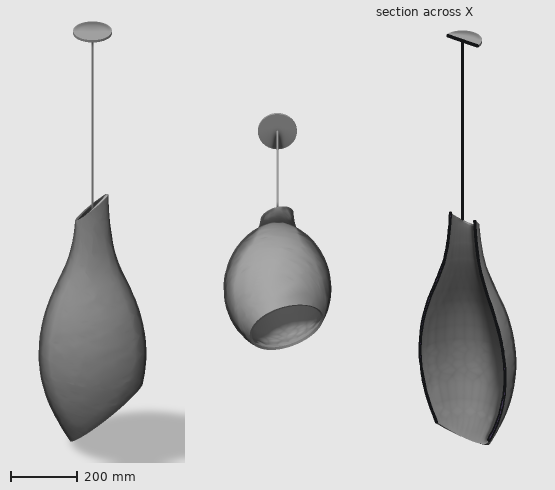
import cadquery as cq

canopy_diameter = 118.0
canopy_thickness = 8.0
cord_diameter = 7.0
cord_end_z = -619.0

shade_wall = 8.0
cut_angle = 43.5
top_cut_axis_z = -607.0
bottom_cut_axis_z = -1350.2
blank_top_z = -530.0
blank_bottom_z = -1440.0
cutter_size = 1200.0

neck_radius = 48.0
mouth_radius = 50.0
belly_radius = 163.4
shade_stations = [
    (neck_radius, blank_top_z),
    (53.0, -660.0),
    (74.5, -787.0),
    (124.0, -915.0),
    (belly_radius, -1112.0),
    (143.5, -1247.0),
    (100.0, -1351.0),
    (mouth_radius, blank_bottom_z),
]


def shade_blank():
    """Solid of revolution of the outer shade outline, longer than the finished shade at both ends."""
    return (
        cq.Workplane("XZ")
        .moveTo(0, blank_top_z)
        .lineTo(*shade_stations[0])
        .spline(shade_stations[1:], includeCurrent=True)
        .lineTo(0, blank_bottom_z)
        .close()
        .revolve(360, (0, 0, 0), (0, 1, 0))
    )


def slanted_block(axis_z, side):
    """Block above (side = 1) or below (side = -1) a plane that rises toward +X."""
    return (
        cq.Workplane("XY")
        .box(cutter_size, cutter_size, cutter_size)
        .translate((0, 0, side * cutter_size / 2))
        .rotate((0, 0, 0), (0, 1, 0), -cut_angle)
        .translate((0, 0, axis_z))
    )


def make_canopy():
    """Round ceiling plate."""
    return (
        cq.Workplane("XY")
        .workplane(offset=-canopy_thickness)
        .circle(canopy_diameter / 2)
        .extrude(canopy_thickness)
    )


def make_cord():
    """Straight cord from the underside of the canopy into the neck of the shade."""
    return (
        cq.Workplane("XY")
        .workplane(offset=cord_end_z)
        .circle(cord_diameter / 2)
        .extrude(-canopy_thickness - cord_end_z)
    )


def make_shade():
    """Hollow teardrop: the trimmed outer skin thickened inward, so both rims are square to the wall."""
    trimmed = (
        shade_blank()
        .cut(slanted_block(top_cut_axis_z, 1))
        .cut(slanted_block(bottom_cut_axis_z, -1))
    )
    outer_skin = trimmed.faces("not %PLANE").val()
    return outer_skin.thicken(-shade_wall)


canopy = make_canopy()
cord = make_cord()
shade = make_shade()

result = cq.Compound.makeCompound([canopy.val(), cord.val(), shade])